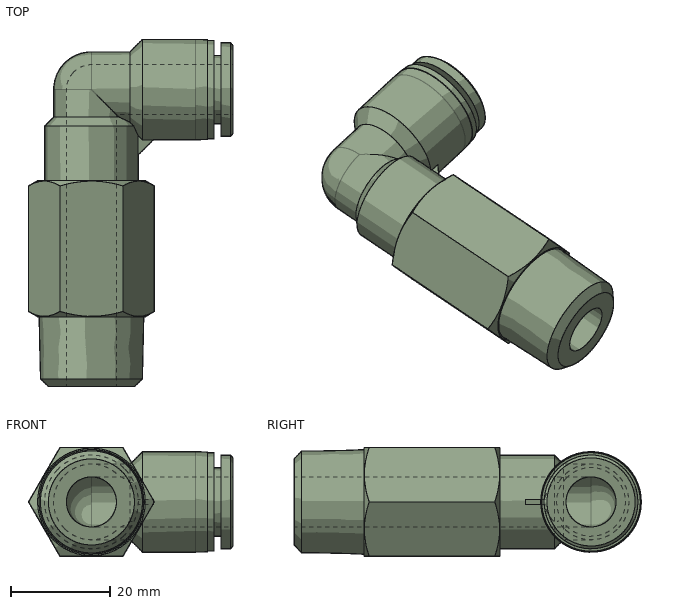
import cadquery as cq
import math


elbow_radius = 7.65
bore_radius = 5.05

collar_radius = 9.5
shoulder_start_y = -5.55
shoulder_end_y = shoulder_start_y - (collar_radius - elbow_radius)
hex_top_y = -18.4
hex_length = 27.5
hex_bottom_y = hex_top_y - hex_length
hex_across_flats = 22.0
hex_across_corners = hex_across_flats / math.cos(math.radians(30))
hex_corner_radius = hex_across_corners / 2
hex_chamfer_radius = 10.9
hex_chamfer_drop = (hex_corner_radius - hex_chamfer_radius) * math.tan(math.radians(30))

thread_root_radius = 10.6
thread_tip_radius = 10.3
thread_end_radius = 8.7
thread_chamfer_length = 1.55

socket_radius = 10.2
cone_start_x = 7.8
cone_end_x = cone_start_x + socket_radius - elbow_radius
socket_seam_x = 21.05
socket_body_end_x = 23.4
socket_body_end_radius = 10.1
rim_radius = 9.95
rim_end_x = 24.75
groove_radius = 6.95
flange_start_x = 26.2
flange_radius = 9.5
flange_chamfer_x = 28.1
flange_end_radius = 8.9
total_width = 41.3
socket_end_x = total_width - hex_corner_radius

total_length = 70.15
stem_end_y = socket_radius - total_length
thread_chamfer_y = stem_end_y + thread_chamfer_length

web_thickness = 1.05
web_low_y = -13.2
web_edge_y = -10.1
web_end_x = collar_radius + web_edge_y - web_low_y


def revolve_about_y(profile):
    """Revolve (radius, y) points about the stem axis."""
    return cq.Workplane("XY").polyline(profile).close().revolve(360, (0, 0, 0), (0, 1, 0))


def revolve_about_x(profile):
    """Revolve (x, radius) points about the socket axis."""
    return cq.Workplane("XY").polyline(profile).close().revolve(360, (0, 0, 0), (1, 0, 0))


def make_stem():
    return revolve_about_y([
        (0, 0),
        (elbow_radius, 0),
        (elbow_radius, shoulder_start_y),
        (collar_radius, shoulder_end_y),
        (collar_radius, hex_bottom_y),
        (thread_root_radius, hex_bottom_y),
        (thread_tip_radius, thread_chamfer_y),
        (thread_end_radius, stem_end_y),
        (0, stem_end_y),
    ])


def make_hex():
    """Hexagon with corners on X, its corners chamfered at both ends."""
    prism = (
        cq.Workplane("XZ", origin=(0, hex_top_y, 0))
        .polygon(6, hex_across_corners)
        .extrude(hex_length)
    )
    chamfer_envelope = revolve_about_y([
        (0, hex_top_y),
        (hex_chamfer_radius, hex_top_y),
        (hex_corner_radius, hex_top_y - hex_chamfer_drop),
        (hex_corner_radius, hex_bottom_y + hex_chamfer_drop),
        (hex_chamfer_radius, hex_bottom_y),
        (0, hex_bottom_y),
    ])
    return prism.intersect(chamfer_envelope)


def make_socket():
    return revolve_about_x([
        (0, 0),
        (0, elbow_radius),
        (cone_start_x, elbow_radius),
        (cone_end_x, socket_radius),
        (socket_seam_x, socket_radius),
        (socket_body_end_x, socket_body_end_radius),
        (socket_body_end_x, rim_radius),
        (rim_end_x, rim_radius),
        (rim_end_x, groove_radius),
        (flange_start_x, groove_radius),
        (flange_start_x, flange_radius),
        (flange_chamfer_x, flange_radius),
        (socket_end_x, flange_end_radius),
        (socket_end_x, 0),
    ])


def make_web():
    return (
        cq.Workplane("XY")
        .polyline([
            (0, 0),
            (0, web_low_y),
            (collar_radius, web_low_y),
            (web_end_x, web_edge_y),
            (web_end_x, 0),
        ])
        .close()
        .extrude(web_thickness / 2, both=True)
    )


def make_bore():
    """Bore from the thread end, turning at a spherical corner into the socket."""
    stem_bore = cq.Workplane("XZ").circle(bore_radius).extrude(-stem_end_y)
    socket_bore = cq.Workplane("YZ").circle(bore_radius).extrude(socket_end_x)
    corner = cq.Workplane("XY").sphere(bore_radius)
    return stem_bore.union(socket_bore).union(corner)


elbow_corner = cq.Workplane("XY").sphere(elbow_radius)
body = make_stem().union(make_socket()).union(elbow_corner)
body = body.union(make_hex()).union(make_web())
result = body.cut(make_bore())